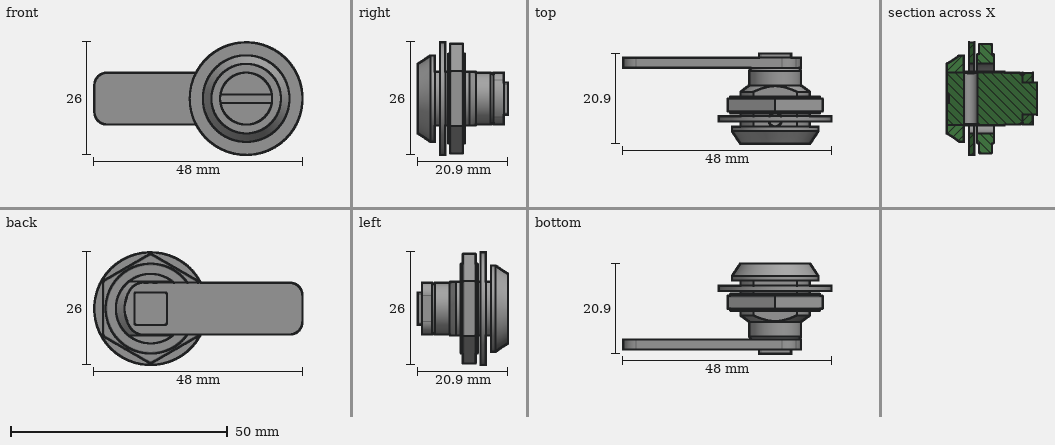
import cadquery as cq
import math


OVERALL_LENGTH = 48.0

ROTOR_RADIUS = 6.0
ROTOR_LENGTH = 17.5
ROTOR_CHAMFER_RADIAL = 0.45
ROTOR_CHAMFER_LENGTH = 0.65
SLOT_WIDTH = 1.9
SLOT_DEPTH = 0.5
SQUARE_SIDE = 7.5
SQUARE_FILLET = 0.5
STUB_END = 20.9

FACE_RADIUS = 8.0
HEAD_RADIUS = 10.0
HEAD_CONE_LENGTH = 3.0
HEAD_LENGTH = 4.0
BODY_RADIUS = 8.0
BODY_END = 12.0
HOUSING_END = 13.5
FLAT_SPACING = 12.5
CROSS_HOLE_RADIUS = 1.55
CROSS_HOLE_Y = 5.55

WASHER_RADIUS = 13.0
WASHER_START = 5.15
WASHER_THICKNESS = 1.25

NUT_START = 7.0
NUT_LENGTH = 3.95
COLLAR_LENGTH = 0.45
COLLAR_RADIUS = 10.35
COLLAR_FILLET = 0.3
HEX_ACROSS_FLATS = 21.95
HEX_FILLET = 0.3

CAM_REACH = OVERALL_LENGTH - WASHER_RADIUS
CAM_WIDTH = 12.0
CAM_START = ROTOR_LENGTH
CAM_THICKNESS = 2.35
CAM_TIP_FILLET = 3.0
CAM_HUB_END = 6.0
CAM_HUB_ARC_RADIUS = 8.0
CAM_HUB_FILLET = 3.75


def plane_at(y):
    """Sketch plane facing +Y, with local X along -X and local Y along +Z."""
    return cq.Workplane("XZ", origin=(0, y, 0)).transformed(rotate=(0, 180, 0))


def disc(radius, start, length):
    return plane_at(start).circle(radius).extrude(length)


def turned(profile):
    """Revolve (radius, y) points around the Y axis."""
    return cq.Workplane("XY").polyline(profile).close().revolve(360, (0, 0, 0), (0, 1, 0))


def square_bar(start, end):
    bar = plane_at(start).rect(SQUARE_SIDE, SQUARE_SIDE).extrude(end - start)
    return bar.edges("|Y").fillet(SQUARE_FILLET)


def make_housing():
    shell = turned([
        (0, 0),
        (FACE_RADIUS, 0),
        (HEAD_RADIUS, HEAD_CONE_LENGTH),
        (HEAD_RADIUS, HEAD_LENGTH),
        (BODY_RADIUS, HEAD_LENGTH),
        (BODY_RADIUS, BODY_END),
        (ROTOR_RADIUS, HOUSING_END),
        (0, HOUSING_END),
    ])
    cutter_height = BODY_RADIUS
    flat_cutter = cq.Workplane("XY").box(
        2 * BODY_RADIUS, HOUSING_END - HEAD_LENGTH, cutter_height, centered=(True, False, True)
    )
    cutter_offset = (FLAT_SPACING + cutter_height) / 2
    for side in (1, -1):
        shell = shell.cut(flat_cutter.translate((0, HEAD_LENGTH, side * cutter_offset)))
    shell = shell.cut(disc(ROTOR_RADIUS, 0, HOUSING_END))
    hole = cq.Workplane("XY").center(0, CROSS_HOLE_Y).circle(CROSS_HOLE_RADIUS).extrude(BODY_RADIUS)
    return shell.cut(hole)


def make_rotor():
    barrel = turned([
        (0, 0),
        (ROTOR_RADIUS, 0),
        (ROTOR_RADIUS, ROTOR_LENGTH - ROTOR_CHAMFER_LENGTH),
        (ROTOR_RADIUS - ROTOR_CHAMFER_RADIAL, ROTOR_LENGTH),
        (0, ROTOR_LENGTH),
    ])
    slot = plane_at(0).rect(2 * ROTOR_RADIUS, SLOT_WIDTH).extrude(SLOT_DEPTH)
    cross_hole = (
        cq.Workplane("XY").center(0, CROSS_HOLE_Y).circle(CROSS_HOLE_RADIUS).extrude(ROTOR_RADIUS, both=True)
    )
    return barrel.cut(slot).cut(cross_hole).union(square_bar(ROTOR_LENGTH, STUB_END))


def make_washer():
    return disc(WASHER_RADIUS, WASHER_START, WASHER_THICKNESS).cut(
        disc(BODY_RADIUS, WASHER_START, WASHER_THICKNESS)
    )


def make_nut():
    across_corners = HEX_ACROSS_FLATS / math.cos(math.pi / 6)
    hexagon = (
        plane_at(NUT_START + COLLAR_LENGTH)
        .transformed(rotate=(0, 0, 90))
        .polygon(6, across_corners)
        .extrude(NUT_LENGTH - 2 * COLLAR_LENGTH)
        .faces("<Y or >Y")
        .edges()
        .fillet(HEX_FILLET)
    )
    collars = disc(COLLAR_RADIUS, NUT_START, NUT_LENGTH).faces("<Y or >Y").edges().fillet(COLLAR_FILLET)
    return hexagon.union(collars).cut(disc(BODY_RADIUS, NUT_START, NUT_LENGTH))


def make_cam():
    half_width = CAM_WIDTH / 2
    arc_center_x = CAM_HUB_END - CAM_HUB_ARC_RADIUS
    corner_x = arc_center_x + math.sqrt(CAM_HUB_ARC_RADIUS**2 - half_width**2)
    arm = (
        cq.Workplane("XZ", origin=(0, CAM_START, 0))
        .moveTo(-CAM_REACH, half_width)
        .lineTo(corner_x, half_width)
        .threePointArc((CAM_HUB_END, 0), (corner_x, -half_width))
        .lineTo(-CAM_REACH, -half_width)
        .close()
        .extrude(-CAM_THICKNESS)
    )
    arm = arm.edges("|Y and <X").fillet(CAM_TIP_FILLET)
    arm = arm.edges("|Y").edges(">X").fillet(CAM_HUB_FILLET)
    return arm.cut(square_bar(CAM_START, STUB_END))


housing = make_housing()
rotor = make_rotor()
washer = make_washer()
nut = make_nut()
cam = make_cam()

result = cq.Compound.makeCompound([
    housing.val(),
    rotor.val(),
    washer.val(),
    nut.val(),
    cam.val(),
])